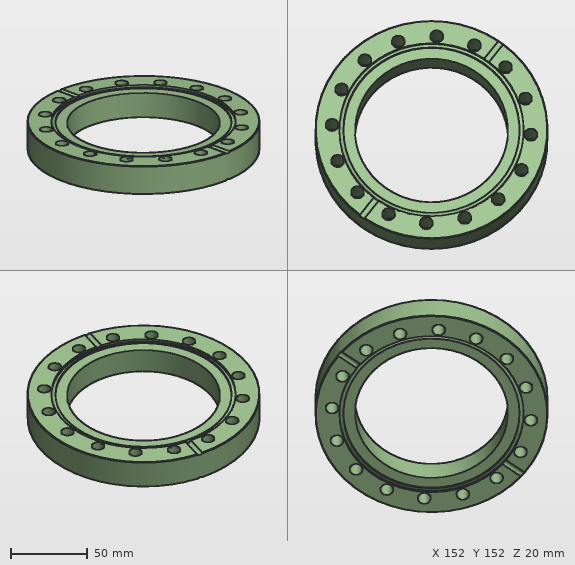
import cadquery as cq
import math

outer_diameter = 152.0
thickness = 20.0
bore_diameter = 100.0
rim_chamfer = 0.5

recess_diameter = 120.5
knife_diameter = 115.4
knife_foot_diameter = 114.9
knife_tip_depth = 0.68
knife_slope_angle = 20.0
inner_land_depth = 1.4

bolt_count = 16
bolt_diameter = 8.4
bolt_circle_diameter = 130.3

groove_width = 4.0
groove_depth = 0.9

outer_radius = outer_diameter / 2
half_thickness = thickness / 2


def make_ring():
    """Plain ring with chamfered outer rims and a through bore."""
    disc = cq.Workplane("XY").circle(outer_radius).extrude(half_thickness, both=True)
    return disc.edges().chamfer(rim_chamfer).faces(">Z").workplane().hole(bore_diameter)


def make_seal_recess():
    """Revolved cutter for the upper face: gasket recess, knife edge and inner land."""
    knife_radius = knife_diameter / 2
    recess_radius = recess_diameter / 2
    tip_z = half_thickness - knife_tip_depth
    land_z = half_thickness - inner_land_depth
    slope_drop = (recess_radius - knife_radius) * math.tan(math.radians(knife_slope_angle))
    return (
        cq.Workplane("XZ")
        .moveTo(0, half_thickness)
        .lineTo(0, land_z)
        .lineTo(knife_foot_diameter / 2, land_z)
        .lineTo(knife_radius, tip_z)
        .lineTo(recess_radius, tip_z - slope_drop)
        .lineTo(recess_radius, half_thickness)
        .close()
        .revolve(360, (0, 0, 0), (0, 1, 0))
    )


def make_leak_groove():
    """Round-bottomed cutter across the upper face along X."""
    half_width = groove_width / 2
    groove_radius = (half_width**2 + groove_depth**2) / (2 * groove_depth)
    axis_z = half_thickness - groove_depth + groove_radius
    return (
        cq.Workplane("YZ")
        .center(0, axis_z)
        .circle(groove_radius)
        .extrude(outer_radius, both=True)
    )


def make_bolt_holes():
    """Through-hole cutters straddling the X and Y axes."""
    half_pitch_angle = 180 / bolt_count
    return (
        cq.Workplane("XY")
        .polarArray(bolt_circle_diameter / 2, half_pitch_angle, 360, bolt_count)
        .circle(bolt_diameter / 2)
        .extrude(half_thickness, both=True)
    )


def limit_groove_to_rim(groove):
    """Keep the groove only outside the gasket recess."""
    core = cq.Workplane("XY").circle(recess_diameter / 2).extrude(thickness, both=True)
    return groove.cut(core)


result = make_ring().cut(make_bolt_holes())
for cutter in (make_seal_recess(), limit_groove_to_rim(make_leak_groove())):
    result = result.cut(cutter).cut(cutter.mirror("XY"))